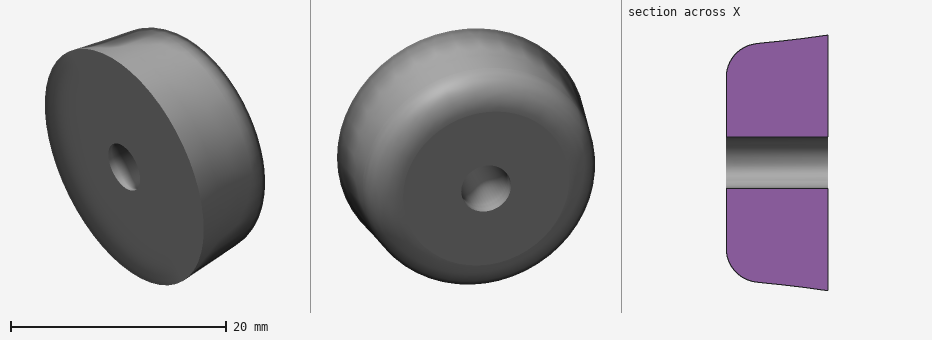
import cadquery as cq
import math

base_diameter = 23.8
height = 9.51
hole_diameter = 4.76
wall_draft = 6.8
crown_fillet = 3.175

base_radius = base_diameter / 2
hole_radius = hole_diameter / 2
crown_radius = base_radius - height * math.tan(math.radians(wall_draft))


def make_bumper():
    """Tapered round bumper with a rounded crown edge and a through hole."""
    wall_profile = (
        cq.Workplane("XY")
        .moveTo(0, 0)
        .lineTo(base_radius, 0)
        .lineTo(crown_radius, height)
        .lineTo(0, height)
        .close()
    )
    tapered_body = wall_profile.revolve(360, (0, 0, 0), (0, 1, 0))
    rounded_body = tapered_body.faces(">Y").edges().fillet(crown_fillet)
    hole = cq.Workplane("XZ").circle(hole_radius).extrude(-height)
    return rounded_body.cut(hole)


bumper = make_bumper()

result = cq.Compound.makeCompound([bumper.val()])